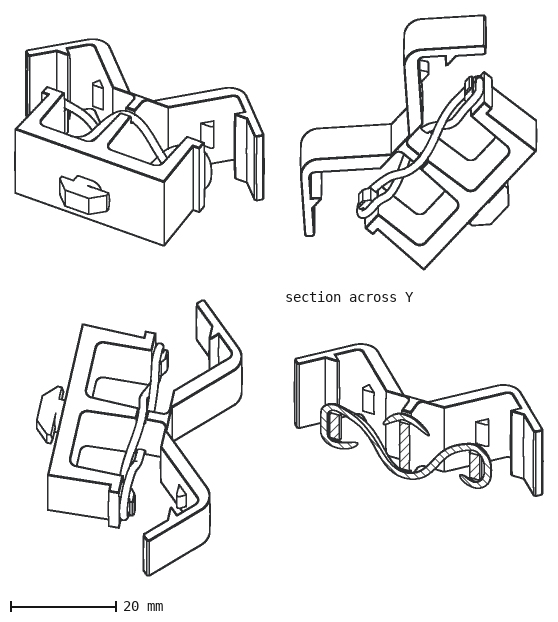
import cadquery as cq
import math

WIDTH = 51.75
HEIGHT = 16.0
HALF_HEIGHT = HEIGHT / 2
DRAFT_ANGLE = 0.5
EDGE_CHAMFER = 0.15

BASE_HALF_WIDTH = 16.3
NECK_HALF_WIDTH = 15.9
LIP_HALF_WIDTH = 17.25
LIP_BOTTOM = 12.0
WALL_TOP = 14.1
POCKET_OUTER_TOP = 13.3
POCKET_OUTER_FLOOR = 13.1
POCKET_FLOOR = 3.6
POCKET_RADIUS = 1.3
WEB_HALF_FLOOR = 1.65
WEB_HALF_TOP = 1.2

STEM_HALF_WIDTH = 1.05
STEM_FILLET = 1.05
HINGE_BOTTOM = 19.8
HINGE_TOP = 20.35
BEND_OUTER_X = 14.9
BEND_OUTER_Y = 32.75
BEND_OUTER_RADIUS = 3.55
BEND_INNER_X = 15.7
BEND_INNER_Y = 29.4
BEND_INNER_RADIUS = 1.0
TIP_CHAMFER = 0.5
TOOTH_ROOT_X = 19.25
TOOTH_DEPTH = 1.4
TOOTH_TIP_CHAMFER = 0.4
TOOTH_BOTTOM = 24.15
TIP_STEP = 0.2

NUB_HALF_HEIGHT = 2.65
NUB_ROOT = (10.35, 24.35)
NUB_NOSE_START = (12.65, 24.35)
NUB_NOSE_MIDDLE = (13.1, 24.55)
NUB_NOSE_END = (13.15, 24.95)
NUB_TOP = (12.35, 26.35)

PEG_HALF_HEIGHT = 3.1
PEG_INNER = 13.55
PEG_INNER_TOP = 15.85
PEG_HEAD_INNER = 14.8
PEG_HEAD_OUTER = 16.3
PEG_HEAD_BOTTOM = 16.0
PEG_NECK_OUTER = 15.75
PEG_TOP = 16.75
PEG_ROOT = 0.5
PEG_CHAMFER = 0.3

NOTCH_WIDTH = 1.75
NOTCH_DEPTH = 2.2
NOTCH_LEAD_IN = 0.2

HOOK_HALF_HEIGHT = 1.95
HOOK_STEM_HALF_WIDTH = 2.6
HOOK_STEM_RADIUS = 2.05
HOOK_HEAD_HALF_WIDTH = 5.1
HOOK_RIDGE = 1.35
HOOK_UNDERSIDE = 1.7
HOOK_SHOULDER = 2.5
HOOK_LENGTH = 4.95

BAND_DIAMETER = 1.5
BAND_Y = 14.95
BAND_NOTCH_Z = 7.1
BAND_LOOP_Z = 4.55


def direction(start, end):
    return math.atan2(end[1] - start[1], end[0] - start[0])


def draw_outline(workplane, corners, inset):
    """Add a closed wire through counter-clockwise (x, y, radius) corners, moved inwards by inset.

    A corner with a radius is rounded: outer ones get tighter with the inset, inner ones wider.
    """
    started = False
    for i, corner in enumerate(corners):
        x, y, radius = corner
        angle_in = direction(corners[i - 1], corner)
        angle_out = direction(corner, corners[(i + 1) % len(corners)])
        turn = math.remainder(angle_out - angle_in, 2 * math.pi)
        inward = angle_in + turn / 2 + math.pi / 2
        miter = inset / math.cos(turn / 2)
        x += miter * math.cos(inward)
        y += miter * math.sin(inward)
        if radius == 0:
            points = [(x, y)]
        else:
            side = math.copysign(1, turn)
            radius -= side * inset
            tangent = radius * math.tan(abs(turn) / 2)
            depth = side * radius * (1 / math.cos(turn / 2) - 1)
            points = [
                (x - tangent * math.cos(angle_in), y - tangent * math.sin(angle_in)),
                (x + depth * math.cos(inward), y + depth * math.sin(inward)),
                (x + tangent * math.cos(angle_out), y + tangent * math.sin(angle_out)),
            ]
        workplane = workplane.lineTo(*points[0]) if started else workplane.moveTo(*points[0])
        started = True
        if len(points) > 1:
            workplane = workplane.threePointArc(*points[1:])
    return workplane.close()


def half_outline(mounting_y):
    """Corners of the +X half of the body, from the mounting face to the hinge."""
    inner_sum = BEND_INNER_X + BEND_INNER_Y
    outer_sum = BEND_OUTER_X + BEND_OUTER_Y
    thick_inner = BEND_INNER_Y - BEND_INNER_X
    thick_outer = BEND_OUTER_Y - BEND_OUTER_X
    tip_inner_sum = inner_sum - TIP_STEP
    tip_x = WIDTH / 2
    tip_y = outer_sum - tip_x
    end_difference = tip_y - TIP_CHAMFER - tip_x
    end_y = (tip_inner_sum + end_difference + TIP_CHAMFER) / 2
    tooth_x = TOOTH_ROOT_X - TOOTH_DEPTH
    tooth_y = inner_sum - TOOTH_ROOT_X - TOOTH_DEPTH
    return [
        (BASE_HALF_WIDTH, mounting_y, 0),
        (NECK_HALF_WIDTH, LIP_BOTTOM, 0),
        (LIP_HALF_WIDTH, LIP_BOTTOM, 0),
        (LIP_HALF_WIDTH, WALL_TOP, 0),
        (POCKET_OUTER_TOP, WALL_TOP, 0),
        (POCKET_OUTER_FLOOR, POCKET_FLOOR, POCKET_RADIUS),
        (WEB_HALF_FLOOR, POCKET_FLOOR, POCKET_RADIUS),
        (WEB_HALF_TOP, WALL_TOP, 0),
        (STEM_HALF_WIDTH, WALL_TOP + NOTCH_WIDTH, 0),
        (STEM_HALF_WIDTH, HINGE_BOTTOM, STEM_FILLET),
        (HINGE_BOTTOM - thick_inner, HINGE_BOTTOM, 0),
        (BEND_INNER_X, BEND_INNER_Y, BEND_INNER_RADIUS),
        (TOOTH_ROOT_X, inner_sum - TOOTH_ROOT_X, 0),
        (tooth_x, tooth_y, 0),
        (tooth_x + TOOTH_TIP_CHAMFER, TOOTH_BOTTOM, 0),
        (tip_inner_sum - TOOTH_BOTTOM, TOOTH_BOTTOM, 0),
        (tip_inner_sum - end_y, end_y, 0),
        (end_y - end_difference, end_y, 0),
        (tip_x, tip_y - TIP_CHAMFER, 0),
        (tip_x, tip_y, 0),
        (BEND_OUTER_X, BEND_OUTER_Y, BEND_OUTER_RADIUS),
        (HINGE_TOP - thick_outer, HINGE_TOP, 0),
    ]


def full_outline(mounting_y):
    right = half_outline(mounting_y)
    return right + [(-x, y, radius) for x, y, radius in reversed(right)]


def make_notch():
    """Cutter for the upper notch: round bottom, flared mouth, open along X."""
    half_width = NOTCH_WIDTH / 2
    half_mouth = half_width + NOTCH_LEAD_IN
    bottom = HALF_HEIGHT - NOTCH_DEPTH
    return (
        cq.Workplane("YZ", origin=(0, WALL_TOP + half_width, 0))
        .moveTo(half_mouth, HALF_HEIGHT)
        .lineTo(-half_mouth, HALF_HEIGHT)
        .lineTo(-half_width, HALF_HEIGHT - NOTCH_LEAD_IN)
        .lineTo(-half_width, bottom + half_width)
        .threePointArc((0, bottom), (half_width, bottom + half_width))
        .lineTo(half_width, HALF_HEIGHT - NOTCH_LEAD_IN)
        .close()
        .extrude(WEB_HALF_FLOOR, both=True)
    )


def make_frame():
    """Drafted body with chamfered outlines and the two band notches."""
    draft_height = HALF_HEIGHT - EDGE_CHAMFER
    draft_inset = draft_height * math.tan(math.radians(DRAFT_ANGLE))
    middle = full_outline(0)
    drafted = full_outline(-draft_inset)
    upper = draw_outline(cq.Workplane("XY"), middle, 0)
    upper = draw_outline(upper.workplane(offset=draft_height), drafted, draft_inset)
    upper = draw_outline(upper.workplane(offset=EDGE_CHAMFER), drafted, draft_inset + EDGE_CHAMFER)
    upper = upper.loft(ruled=True)
    upper = upper.cut(make_notch())
    return upper.union(upper.mirror("XY"))


def make_nub():
    """Stop nub on the +X thick arm, let into the arm's inner face."""
    return (
        cq.Workplane("XY")
        .moveTo(*NUB_ROOT)
        .lineTo(*NUB_NOSE_START)
        .threePointArc(NUB_NOSE_MIDDLE, NUB_NOSE_END)
        .lineTo(*NUB_TOP)
        .close()
        .extrude(NUB_HALF_HEIGHT, both=True)
    )


def make_peg():
    """Band peg on the +X wall."""
    points = [
        (PEG_INNER, WALL_TOP - PEG_ROOT),
        (PEG_INNER, PEG_INNER_TOP),
        (PEG_HEAD_INNER, PEG_TOP),
        (PEG_HEAD_OUTER, PEG_TOP),
        (PEG_HEAD_OUTER, PEG_HEAD_BOTTOM),
        (PEG_NECK_OUTER, PEG_INNER_TOP),
        (PEG_NECK_OUTER, WALL_TOP - PEG_ROOT),
    ]
    peg = cq.Workplane("XY").polyline(points).close().extrude(PEG_HALF_HEIGHT, both=True)
    return peg.faces(">Y").edges("|X or >X").chamfer(PEG_CHAMFER)


def make_hook():
    """T-shaped hook whose stem has two opposite corners rounded for turning."""
    stem = (
        cq.Workplane("XZ")
        .rect(2 * HOOK_STEM_HALF_WIDTH, 2 * HOOK_HALF_HEIGHT)
        .extrude(HOOK_SHOULDER)
    )
    stem = stem.edges("|Y").edges("(>X and >Z) or (<X and <Z)").fillet(HOOK_STEM_RADIUS)
    head = (
        cq.Workplane("XY")
        .polyline([
            (-HOOK_HEAD_HALF_WIDTH, -HOOK_RIDGE),
            (-HOOK_HEAD_HALF_WIDTH, -HOOK_SHOULDER),
            (-HOOK_STEM_HALF_WIDTH, -HOOK_LENGTH),
            (HOOK_STEM_HALF_WIDTH, -HOOK_LENGTH),
            (HOOK_HEAD_HALF_WIDTH, -HOOK_SHOULDER),
            (HOOK_HEAD_HALF_WIDTH, -HOOK_RIDGE),
        ])
        .close()
        .extrude(HOOK_HALF_HEIGHT, both=True)
    )
    ridge = (
        cq.Workplane("YZ")
        .polyline([
            (-HOOK_LENGTH, -HOOK_HALF_HEIGHT),
            (-HOOK_UNDERSIDE, -HOOK_HALF_HEIGHT),
            (-HOOK_RIDGE, 0),
            (-HOOK_UNDERSIDE, HOOK_HALF_HEIGHT),
            (-HOOK_LENGTH, HOOK_HALF_HEIGHT),
        ])
        .close()
        .extrude(HOOK_HEAD_HALF_WIDTH, both=True)
    )
    return stem.union(head.intersect(ridge))


def make_clip():
    clip = make_frame().union(make_hook())
    for feature in (make_nub(), make_peg()):
        clip = clip.union(feature).union(feature.mirror("YZ"))
    return clip


def tube_walls(path):
    """Round wall of a tube along the path, without its flat ends."""
    start = cq.Plane(
        origin=path.startPoint().toTuple(),
        xDir=(0, 1, 0),
        normal=path.tangentAt(0).toTuple(),
    )
    tube = cq.Workplane(start).circle(BAND_DIAMETER / 2).sweep(cq.Workplane(obj=path))
    return tube.faces("not %PLANE").vals()


def make_band():
    """Closed round band, hooked over both pegs and crossing itself in each pocket."""
    centre_line = [
        (0, BAND_Y, BAND_NOTCH_Z),
        (1.8, 14.9, 6.65),
        (6.85, 13.8, 2.6),
        (9.0, 13.45, 0.2),
        (11.2, 13.85, -2.5),
        (12.5, 14.75, -3.85),
        (14.75, BAND_Y, -BAND_LOOP_Z),
        (16.5, BAND_Y, -3.4),
        (17.4, BAND_Y, 0),
        (16.5, BAND_Y, 3.4),
        (14.75, BAND_Y, BAND_LOOP_Z),
        (12.95, BAND_Y, 4.15),
        (9.0, BAND_Y, 1.55),
        (1.8, BAND_Y, -6.7),
        (0, BAND_Y, -BAND_NOTCH_Z),
        (-1.8, 15.1, -6.7),
        (-6.2, 15.5, -1.3),
        (-10.35, 15.3, 3.1),
        (-12.95, BAND_Y, 4.25),
        (-14.85, BAND_Y, BAND_LOOP_Z),
        (-16.35, BAND_Y, 3.6),
        (-16.8, BAND_Y, 0),
        (-16.35, BAND_Y, -3.6),
        (-14.85, BAND_Y, -BAND_LOOP_Z),
        (-12.95, BAND_Y, -4.15),
        (-10.35, 14.4, -2.95),
        (-6.3, 13.9, 1.2),
        (-1.8, 14.8, 6.45),
    ]
    path = cq.Edge.makeSpline([cq.Vector(*point) for point in centre_line], periodic=True)
    breaks = [path.paramAt(fraction) for fraction in (0.0, 0.5, 1.0)]
    walls = []
    for start, end in zip(breaks, breaks[1:]):
        walls += tube_walls(path.trim(start, end))
    return cq.Workplane(obj=cq.Solid.makeSolid(cq.Shell.makeShell(walls)))


clip = make_clip()
band = make_band()

result = cq.Compound.makeCompound([clip.val(), band.val()])